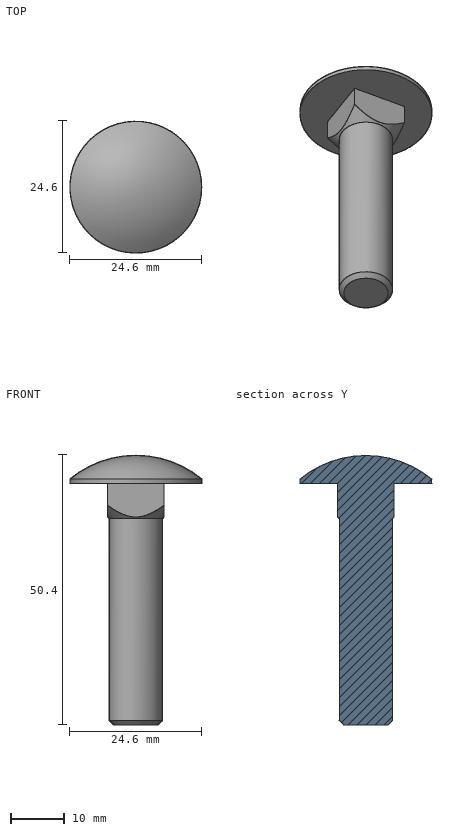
import cadquery as cq

total_length = 50.4
head_diameter = 24.65
head_height = 5.3
rim_height = 0.85
neck_width = 10.6
neck_height = 6.55
shank_diameter = 10.0
tip_chamfer = 0.85

head_radius = head_diameter / 2
shank_radius = shank_diameter / 2
head_base = total_length - head_height
rim_top = head_base + rim_height
neck_base = head_base - neck_height
dome_rise = total_length - rim_top
dome_radius = (head_radius**2 + dome_rise**2) / (2 * dome_rise)


def make_head():
    """Spherical dome on a thin cylindrical rim."""
    rim = cq.Workplane("XY").workplane(offset=head_base).circle(head_radius).extrude(head_height)
    ball = cq.Workplane("XY").sphere(dome_radius).translate((0, 0, total_length - dome_radius))
    return rim.intersect(ball)


def make_neck():
    """Square neck whose lower corners are trimmed by a 45 degree cone starting at the shank."""
    square = cq.Workplane("XY").workplane(offset=neck_base).rect(neck_width, neck_width).extrude(neck_height)
    cone = cq.Workplane("XY").add(
        cq.Solid.makeCone(shank_radius, shank_radius + neck_height, neck_height, pnt=cq.Vector(0, 0, neck_base))
    )
    return square.intersect(cone)


def make_shank():
    """Plain round shank with a chamfered tip."""
    shank = cq.Workplane("XY").circle(shank_radius).extrude(head_base)
    return shank.faces("<Z").chamfer(tip_chamfer)


result = make_head().union(make_neck()).union(make_shank())